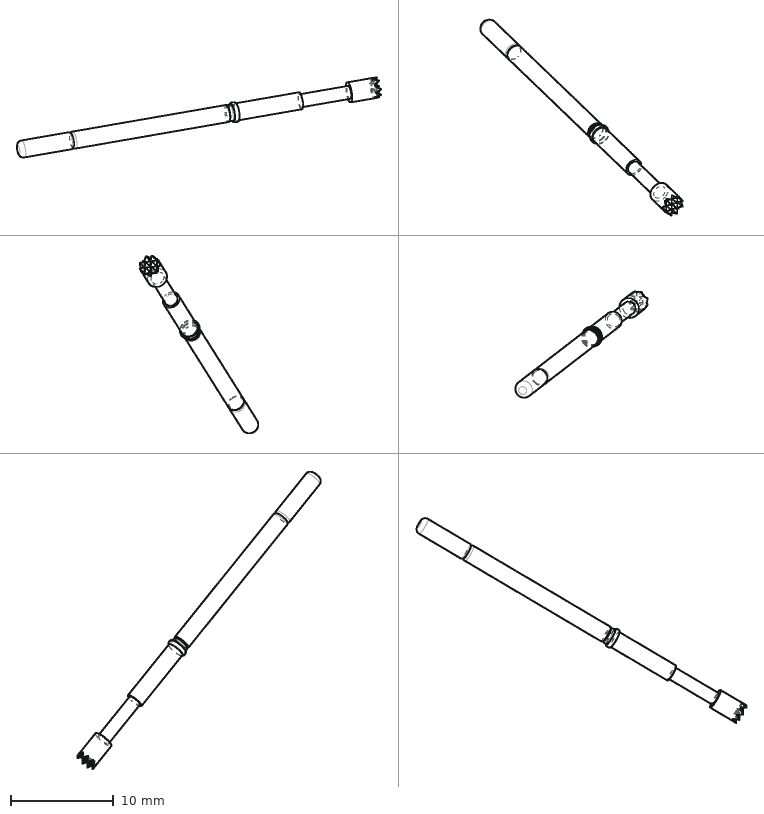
import cadquery as cq
import math

TOTAL_LENGTH = 37.0
TIP_Y = TOTAL_LENGTH / 2

HEAD_RADIUS = 1.0
HEAD_LENGTH = 3.0
STEM_RADIUS = 0.65
STEM_END = 8.0

TOOTH_PITCH = 0.62
TOOTH_DEPTH = 0.55
GROOVES_PER_DIRECTION = 5

BARREL_RADIUS = 0.85
TAIL_ROUND = 0.45
TAIL_FLAT_RADIUS = BARREL_RADIUS - TAIL_ROUND

RING_START = 14.55
RING_END = 15.02
RING_RADIUS = 1.0
RING_SHOULDER_RADIUS = 0.93
NECK_RADIUS = 0.82

FRONT_CRIMP_START = 15.2
FRONT_CRIMP_VALLEY = 15.42
FRONT_CRIMP_END = 15.52

REAR_CRIMP_VALLEY = 31.51
REAR_CRIMP_HALF_WIDTH = 0.22
CRIMP_VALLEY_RADIUS = 0.71

BEND_MIDDLE = math.radians(45)


def at(radius, station):
    """Profile point at a radius and a distance back from the tip."""
    return (radius, TIP_Y - station)


def lip_middle(lip_station, lip_radius, valley_station):
    """Middle point of a convex arc from a lip down to a crimp valley."""
    station = lip_station + (valley_station - lip_station) * math.sin(BEND_MIDDLE)
    radius = CRIMP_VALLEY_RADIUS + (lip_radius - CRIMP_VALLEY_RADIUS) * math.cos(BEND_MIDDLE)
    return at(radius, station)


def turned_body():
    """Revolve the half profile of the whole pin around Y."""
    rear_crimp_start = REAR_CRIMP_VALLEY - REAR_CRIMP_HALF_WIDTH
    rear_crimp_end = REAR_CRIMP_VALLEY + REAR_CRIMP_HALF_WIDTH
    ring_middle = (RING_START + RING_END) / 2
    tail_round_start = TOTAL_LENGTH - TAIL_ROUND
    tail_bend = TAIL_ROUND * math.sin(BEND_MIDDLE)

    profile = (
        cq.Workplane("XY")
        .moveTo(*at(0, 0))
        .lineTo(*at(HEAD_RADIUS, 0))
        .lineTo(*at(HEAD_RADIUS, HEAD_LENGTH))
        .lineTo(*at(STEM_RADIUS, HEAD_LENGTH))
        .lineTo(*at(STEM_RADIUS, STEM_END))
        .lineTo(*at(BARREL_RADIUS, STEM_END))
        .lineTo(*at(BARREL_RADIUS, RING_START))
        .lineTo(*at(RING_SHOULDER_RADIUS, RING_START))
        .threePointArc(at(RING_RADIUS, ring_middle), at(RING_SHOULDER_RADIUS, RING_END))
        .lineTo(*at(NECK_RADIUS, RING_END))
        .lineTo(*at(NECK_RADIUS, FRONT_CRIMP_START))
        .threePointArc(
            lip_middle(FRONT_CRIMP_START, NECK_RADIUS, FRONT_CRIMP_VALLEY),
            at(CRIMP_VALLEY_RADIUS, FRONT_CRIMP_VALLEY),
        )
        .lineTo(*at(BARREL_RADIUS, FRONT_CRIMP_END))
        .lineTo(*at(BARREL_RADIUS, rear_crimp_start))
        .threePointArc(
            lip_middle(rear_crimp_start, BARREL_RADIUS, REAR_CRIMP_VALLEY),
            at(CRIMP_VALLEY_RADIUS, REAR_CRIMP_VALLEY),
        )
        .threePointArc(
            lip_middle(rear_crimp_end, BARREL_RADIUS, REAR_CRIMP_VALLEY),
            at(BARREL_RADIUS, rear_crimp_end),
        )
        .lineTo(*at(BARREL_RADIUS, tail_round_start))
        .threePointArc(
            at(TAIL_FLAT_RADIUS + tail_bend, tail_round_start + tail_bend),
            at(TAIL_FLAT_RADIUS, TOTAL_LENGTH),
        )
        .lineTo(*at(0, TOTAL_LENGTH))
        .close()
    )
    return profile.revolve(360, (0, 0, 0), (0, 1, 0))


def serration_grooves():
    """Parallel V grooves along Z, side by side across the tip."""
    grooves = cq.Workplane("XY")
    first_offset = -TOOTH_PITCH * (GROOVES_PER_DIRECTION - 1) / 2
    for index in range(GROOVES_PER_DIRECTION):
        middle = first_offset + index * TOOTH_PITCH
        groove = (
            cq.Workplane("XY")
            .moveTo(middle - TOOTH_PITCH / 2, TIP_Y)
            .lineTo(middle, TIP_Y - TOOTH_DEPTH)
            .lineTo(middle + TOOTH_PITCH / 2, TIP_Y)
            .close()
            .extrude(2 * HEAD_RADIUS, both=True)
        )
        grooves = grooves.add(groove)
    return grooves.combine()


grooves_along_z = serration_grooves()
grooves_along_x = grooves_along_z.rotate((0, 0, 0), (0, 1, 0), 90)

result = turned_body().cut(grooves_along_z).cut(grooves_along_x)